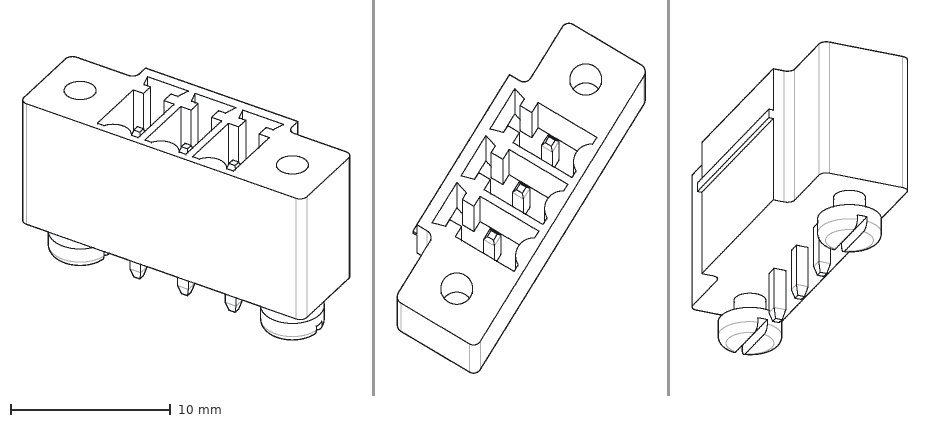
import cadquery as cq

housing_length = 20.8
housing_height = 9.2
wing_depth = 6.0
back_length = 11.2
back_depth = 7.25
corner_radius = 0.5

rail_depth = 0.3
rail_height = 0.6
rail_drop = 2.9
rail_top_z = housing_height - rail_drop

contact_count = 3
pitch = 3.5
row_y = wing_depth / 2
floor_thickness = 1.0
pocket_width = 3.0
pocket_front_y = 0.5
shoulder_y = 4.8
key_front_y = 5.65
pocket_back_y = 6.5
neck_width = 1.5
key_front_width = 2.5
bulge_width = 2.0
bulge_rise = 0.6

pin_width = 0.8
pin_tip_width = 0.45
pin_taper = 0.65
pin_recess = 1.4
pin_top_z = housing_height - pin_recess
pin_protrusion = 3.4
pin_bottom_z = -pin_protrusion

screw_x = 7.8
screw_diameter = 2.0
hole_depth = 6.2
head_diameter = 4.0
head_height = 1.5
screw_gap = 1.5
head_top_z = -screw_gap
head_radius = 0.5
slot_width = 0.65
slot_depth = 0.8


def make_housing():
    """Block with a deeper middle, rounded wing corners and a latch rail."""
    wings = (
        cq.Workplane("XY")
        .box(housing_length, wing_depth, housing_height, centered=(True, False, False))
    )
    middle = (
        cq.Workplane("XY")
        .box(back_length, back_depth, housing_height, centered=(True, False, False))
    )
    wing_corners = cq.selectors.BoxSelector(
        (-housing_length, -wing_depth, 0),
        (housing_length, (wing_depth + back_depth) / 2, housing_height),
    )
    body = wings.union(middle).edges("|Z").edges(wing_corners).fillet(corner_radius)
    rail = (
        cq.Workplane("XY", origin=(0, back_depth, rail_top_z - rail_height))
        .box(back_length, rail_depth, rail_height, centered=(True, False, False))
    )
    return body.union(rail)


def make_pocket(x):
    """Contact pocket with a dovetail key slot behind it and a bulge on its front wall."""
    half_width = pocket_width / 2
    half_neck = neck_width / 2
    half_key = key_front_width / 2
    half_bulge = bulge_width / 2
    return (
        cq.Workplane("XY", origin=(x, 0, floor_thickness))
        .moveTo(-half_bulge, pocket_front_y)
        .threePointArc((0, pocket_front_y + bulge_rise), (half_bulge, pocket_front_y))
        .lineTo(half_width, pocket_front_y)
        .lineTo(half_width, shoulder_y)
        .lineTo(half_neck, shoulder_y)
        .lineTo(half_neck, key_front_y)
        .lineTo(half_key, key_front_y)
        .lineTo(half_width, pocket_back_y)
        .lineTo(-half_width, pocket_back_y)
        .lineTo(-half_key, key_front_y)
        .lineTo(-half_neck, key_front_y)
        .lineTo(-half_neck, shoulder_y)
        .lineTo(-half_width, shoulder_y)
        .lineTo(-half_width, pocket_front_y)
        .close()
        .extrude(housing_height - floor_thickness)
    )


def make_pin_tip(x, base_z, direction):
    """Square tapered tip growing from base_z; direction is +1 for up, -1 for down."""
    return (
        cq.Workplane("XY", origin=(x, row_y, base_z))
        .rect(pin_width, pin_width)
        .workplane(offset=direction * pin_taper)
        .rect(pin_tip_width, pin_tip_width)
        .loft(ruled=True)
    )


def make_pin(x):
    """Straight square contact pin, tapered at both ends."""
    shaft_bottom_z = pin_bottom_z + pin_taper
    shaft_top_z = pin_top_z - pin_taper
    shaft = (
        cq.Workplane("XY", origin=(x, row_y, shaft_bottom_z))
        .rect(pin_width, pin_width)
        .extrude(shaft_top_z - shaft_bottom_z)
    )
    upper_tip = make_pin_tip(x, shaft_top_z, 1)
    lower_tip = make_pin_tip(x, shaft_bottom_z, -1)
    return shaft.union(upper_tip).union(lower_tip)


def make_hole(x):
    """Blind mounting hole, open at the top of a wing."""
    return (
        cq.Workplane("XY", origin=(x, row_y, housing_height - hole_depth))
        .circle(screw_diameter / 2)
        .extrude(hole_depth)
    )


def make_screw(x):
    """Slotted screw below a wing, its shank running up to the bottom of the hole."""
    head_bottom_z = head_top_z - head_height
    head = (
        cq.Workplane("XY", origin=(x, row_y, head_bottom_z))
        .circle(head_diameter / 2)
        .extrude(head_height)
        .faces("<Z")
        .edges()
        .fillet(head_radius)
    )
    slot = (
        cq.Workplane("XY", origin=(x, row_y, head_bottom_z))
        .rect(head_diameter, slot_width)
        .extrude(slot_depth)
    )
    shank_top_z = housing_height - hole_depth
    shank = (
        cq.Workplane("XY", origin=(x, row_y, head_top_z))
        .circle(screw_diameter / 2)
        .extrude(shank_top_z - head_top_z)
    )
    return head.cut(slot).union(shank)


result = make_housing()

for index in range(contact_count):
    contact_x = (index - (contact_count - 1) / 2) * pitch
    result = result.cut(make_pocket(contact_x)).union(make_pin(contact_x))

for wing_x in (-screw_x, screw_x):
    result = result.cut(make_hole(wing_x)).union(make_screw(wing_x))